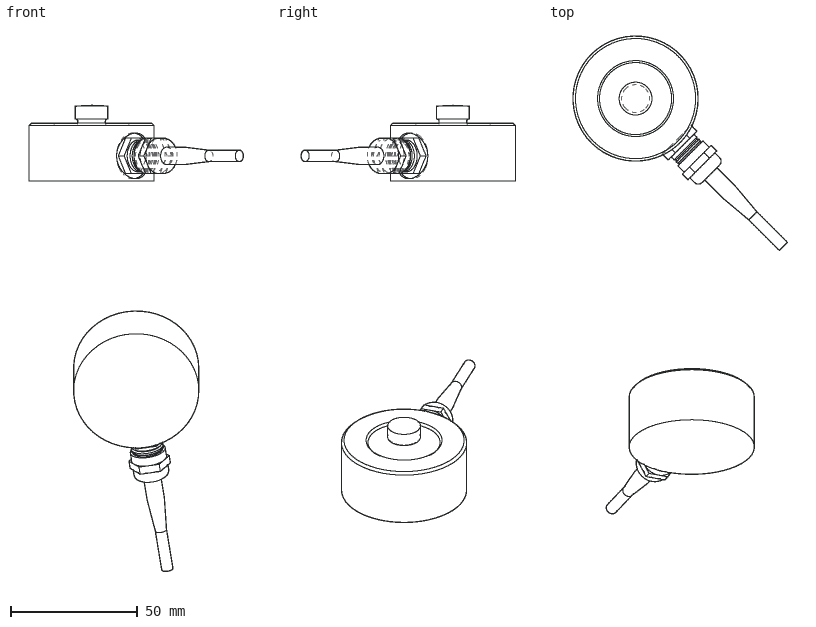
import cadquery as cq
import math

housing_diameter = 49.5
housing_height = 23.0
housing_chamfer = 1.0
recess_diameter = 30.0
recess_floor_diameter = 28.5
recess_depth = 1.0

neck_diameter = 11.0
neck_fillet = 0.8
button_diameter = 13.0
button_bottom = 24.5
button_edge_height = 29.7
button_top = 30.0

outlet_height = 10.0
outlet_angle = -45
spotface_diameter = 18.05
flat_distance = math.sqrt((housing_diameter / 2) ** 2 - (spotface_diameter / 2) ** 2)

hex_across_flats = 14.0
hex_diameter = hex_across_flats / math.cos(math.pi / 6)
base_nut_end = 26.3
collar_diameter = 12.7
collar_groove_diameter = 11.5
collar_groove_start = 27.9
collar_groove_middle = 28.5
collar_groove_end = 29.1
collar_end = 29.9
waist_diameter = 12.0
cap_start = 30.6
cap_diameter = hex_across_flats
cap_nut_start = 34.2
cap_nut_length = 3.1
cap_end = 42.05
cap_round = 2.0

boot_diameter = 6.95
boot_taper_start = 52.0
boot_end = 65.5
cable_diameter = 4.6
overall_length = 84.8
cable_end = (overall_length - housing_diameter / 2) * math.sqrt(2) - cable_diameter / 2


def place_on_outlet(body):
    """Move a body built along +X to the outlet height and direction."""
    return body.rotate((0, 0, 0), (0, 0, 1), outlet_angle).translate((0, 0, outlet_height))


def disc_along_x(diameter, start, length):
    return cq.Workplane("YZ", origin=(start, 0, 0)).circle(diameter / 2).extrude(length)


def hex_nut(start, length):
    """Hexagon along +X with flats facing up and down."""
    return cq.Workplane("YZ", origin=(start, 0, 0)).polygon(6, hex_diameter).extrude(length)


def make_button():
    """Neck filleted at both ends, under a slightly domed head."""
    floor = housing_height - recess_depth
    neck_radius = neck_diameter / 2
    button_radius = button_diameter / 2
    dome_height = button_top - button_edge_height
    dome_radius = (button_radius**2 + dome_height**2) / (2 * dome_height)
    dome_mid_x = button_radius / 2
    dome_mid_z = button_top - dome_radius + math.sqrt(dome_radius**2 - dome_mid_x**2)
    fillet_mid = neck_fillet * (1 - math.sqrt(0.5))
    return (
        cq.Workplane("XZ")
        .moveTo(0, 0)
        .lineTo(neck_radius + neck_fillet, 0)
        .lineTo(neck_radius + neck_fillet, floor)
        .threePointArc((neck_radius + fillet_mid, floor + fillet_mid), (neck_radius, floor + neck_fillet))
        .lineTo(neck_radius, button_bottom - neck_fillet)
        .threePointArc(
            (neck_radius + fillet_mid, button_bottom - fillet_mid),
            (neck_radius + neck_fillet, button_bottom),
        )
        .lineTo(button_radius, button_bottom)
        .lineTo(button_radius, button_edge_height)
        .threePointArc((dome_mid_x, dome_mid_z), (0, button_top))
        .close()
        .revolve(360, (0, 0), (0, 1))
    )


def make_housing():
    body = cq.Workplane("XY").circle(housing_diameter / 2).extrude(housing_height)
    body = body.faces(">Z").edges().chamfer(housing_chamfer)
    recess = (
        cq.Workplane("XY", origin=(0, 0, housing_height - recess_depth))
        .circle(recess_floor_diameter / 2)
        .workplane(offset=recess_depth)
        .circle(recess_diameter / 2)
        .loft()
    )
    spotface = disc_along_x(spotface_diameter, flat_distance, housing_diameter)
    return body.cut(recess).union(make_button()).cut(place_on_outlet(spotface))


def make_collar():
    """Threaded section between the nuts: a V-groove, then a narrower waist."""
    return (
        cq.Workplane("XY")
        .moveTo(base_nut_end, 0)
        .lineTo(base_nut_end, collar_diameter / 2)
        .lineTo(collar_groove_start, collar_diameter / 2)
        .lineTo(collar_groove_middle, collar_groove_diameter / 2)
        .lineTo(collar_groove_end, collar_diameter / 2)
        .lineTo(collar_end, collar_diameter / 2)
        .lineTo(collar_end, waist_diameter / 2)
        .lineTo(cap_start, waist_diameter / 2)
        .lineTo(cap_start, 0)
        .close()
        .revolve(360, (0, 0), (1, 0))
    )


def make_boot():
    """Bend protection: a cylinder that tapers down to the cable diameter."""
    return (
        cq.Workplane("XY")
        .moveTo(cap_end, 0)
        .lineTo(cap_end, boot_diameter / 2)
        .lineTo(boot_taper_start, boot_diameter / 2)
        .lineTo(boot_end, cable_diameter / 2)
        .lineTo(boot_end, 0)
        .close()
        .revolve(360, (0, 0), (1, 0))
    )


def make_gland():
    """Screwed gland with its bend-protection boot."""
    base_nut = hex_nut(flat_distance, base_nut_end - flat_distance)
    cap = disc_along_x(cap_diameter, cap_start, cap_end - cap_start)
    cap = cap.faces(">X").edges().fillet(cap_round)
    cap_nut = hex_nut(cap_nut_start, cap_nut_length)
    gland = base_nut.union(make_collar()).union(cap).union(cap_nut).union(make_boot())
    return place_on_outlet(gland)


def make_cable():
    """Bare cable leaving the thin end of the boot."""
    return place_on_outlet(disc_along_x(cable_diameter, boot_end, cable_end - boot_end))


housing = make_housing()
gland = make_gland()
cable = make_cable()

result = cq.Compound.makeCompound([housing.val(), gland.val(), cable.val()])